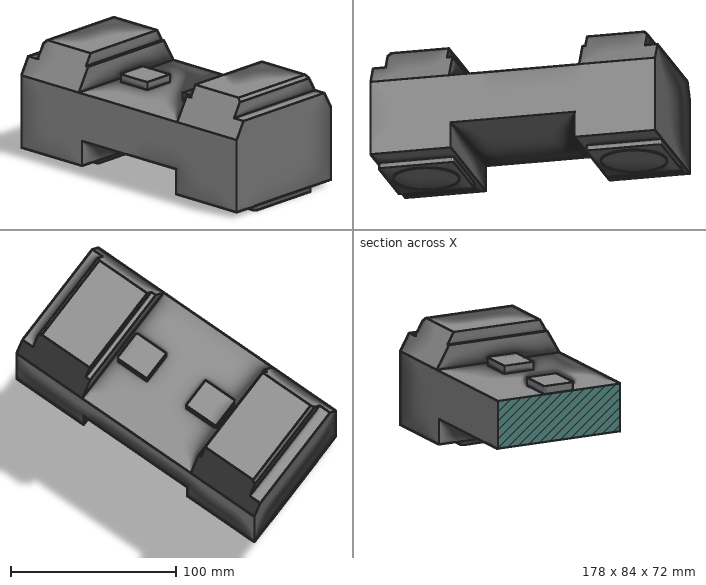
import cadquery as cq

LENGTH = 178.0
WIDTH = 84.0
HEIGHT = 72.0
HALF_LENGTH = LENGTH / 2

DISC_DIAMETER = 40.0
DISC_THICKNESS = 0.5
PAD_LENGTH = 47.0
PAD_WIDTH = 50.0
PAD_THICKNESS = 3.4
PAD_END_INSET = 0.5
CORNER_RADIUS = 1.2

PAD_Z = DISC_THICKNESS
BODY_Z = PAD_Z + PAD_THICKNESS
NOTCH_TOP_Z = 20.0
BED_Z = 50.2
END_LEDGE_Z = 60.9
INNER_STEP_Z = 64.6

LEG_LENGTH = 50.2

TOWER_TOP_WIDTH = 59.1
END_LEDGE_LENGTH = 7.8
TOWER_TOP_REACH = 45.7
LEFT_TOWER_REACH = 47.5
RIGHT_TOWER_REACH = 49.1
TOWER_CHAMFER = 2.1

BLOCK_LENGTH = 22.5
BLOCK_WIDTH = 20.1
BLOCK_HEIGHT = 5.0
BLOCK_CENTER_X = 25.8


def make_base():
    """Body up to the bed, with the opening between the legs removed."""
    body = cq.Workplane("XY").workplane(offset=BODY_Z).rect(LENGTH, WIDTH).extrude(BED_Z - BODY_Z)
    notch_height = NOTCH_TOP_Z - BODY_Z
    notch = (
        cq.Workplane("XY")
        .workplane(offset=BODY_Z)
        .rect(LENGTH - 2 * LEG_LENGTH, WIDTH)
        .extrude(notch_height)
    )
    return body.cut(notch)


def make_tower(side, reach):
    """Stepped tower; side is -1 at the -X end and +1 at the +X end."""
    profile = [
        (0, BED_Z),
        (0, END_LEDGE_Z),
        (END_LEDGE_LENGTH, END_LEDGE_Z),
        (END_LEDGE_LENGTH, HEIGHT - TOWER_CHAMFER),
        (END_LEDGE_LENGTH + TOWER_CHAMFER, HEIGHT),
        (TOWER_TOP_REACH, HEIGHT),
        (TOWER_TOP_REACH, INNER_STEP_Z),
        (reach, INNER_STEP_Z),
        (reach, BED_Z),
    ]
    points = [(side * (HALF_LENGTH - distance), z) for distance, z in profile]
    tower = cq.Workplane("XZ").polyline(points).close().extrude(WIDTH / 2, both=True)

    sloped_sides = (
        cq.Workplane("YZ")
        .polyline([
            (-WIDTH / 2, BED_Z),
            (WIDTH / 2, BED_Z),
            (TOWER_TOP_WIDTH / 2, HEIGHT),
            (-TOWER_TOP_WIDTH / 2, HEIGHT),
        ])
        .close()
        .extrude(HALF_LENGTH, both=True)
    )
    return tower.intersect(sloped_sides)


def make_block(side):
    """Bed block whose two vertical edges nearest the body end are rounded."""
    outer_face = ">X" if side > 0 else "<X"
    return (
        cq.Workplane("XY")
        .workplane(offset=BED_Z)
        .center(side * BLOCK_CENTER_X, 0)
        .rect(BLOCK_LENGTH, BLOCK_WIDTH)
        .extrude(BLOCK_HEIGHT)
        .faces(outer_face)
        .edges("|Z")
        .fillet(CORNER_RADIUS)
    )


def make_foot(side):
    """Rectangular pad with rounded corners and a thin disc beneath it."""
    center_x = side * (HALF_LENGTH - PAD_END_INSET - PAD_LENGTH / 2)
    pad = (
        cq.Workplane("XY")
        .workplane(offset=PAD_Z)
        .center(center_x, 0)
        .rect(PAD_LENGTH, PAD_WIDTH)
        .extrude(PAD_THICKNESS)
        .edges("|Z")
        .fillet(CORNER_RADIUS)
    )
    disc = cq.Workplane("XY").center(center_x, 0).circle(DISC_DIAMETER / 2).extrude(DISC_THICKNESS)
    return pad.union(disc)


result = make_base()
for end, tower_reach in ((-1, LEFT_TOWER_REACH), (1, RIGHT_TOWER_REACH)):
    result = result.union(make_tower(end, tower_reach))
    result = result.union(make_block(end))
    result = result.union(make_foot(end))